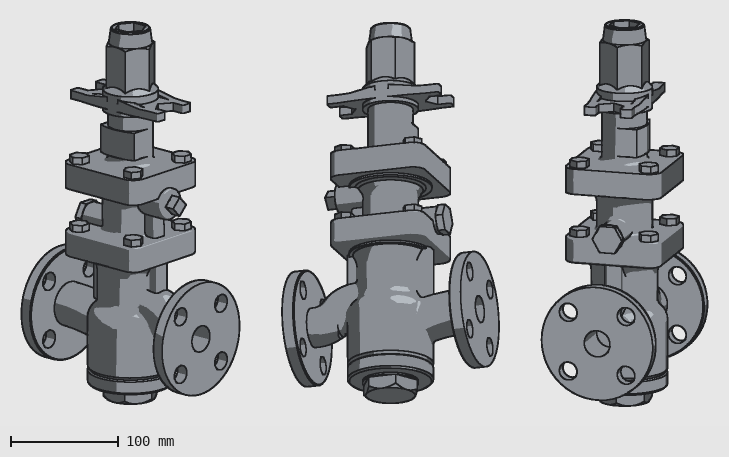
import cadquery as cq
import math


half_hex_turn = 30.0

overall_height = 360.0
top_z = 285.1
hex_top_z = 270.4
hex_base_z = 231.2
collar_top_z = 225.4
collar_bottom_z = 205.6
bolted_joint_thickness = 24.2
joint_pitch = 66.0
upper_joint_top_z = 154.8
lower_joint_top_z = upper_joint_top_z - joint_pitch
body_shoulder_top_z = 22.3
body_shoulder_bottom_z = 2.8
body_bottom_z = -44.0
cap_top_z = -48.0
cap_bottom_z = -60.8
bottom_z = top_z - overall_height

spout_top_radius = 18.5
spout_base_radius = 20.3
spout_chamfer = 1.2
housing_hex_flats = 41.0
housing_hex_chamfer_angle = 30.0
collar_radius = 26.0
socket_flats = 25.5
socket_depth = 11.0

handle_length = 110.0
handle_end_width = 46.0
handle_middle_width = 50.4
handle_bottom_z = 209.7
handle_thickness = 8.0
handle_taper_start_x = 42.5
handle_middle_half_length = 6.5
fork_half_gap = 12.0
fork_mouth_x = 42.5
fork_root_x = 34.5
fork_tip_fillet = 2.0
ramp_length = 32.3
ramp_inner_y = 16.5
ramp_height = 4.0

neck_radius = 21.0
neck_fillet = 6.0
pad_side_depth = 18.0
pad_front_depth = 22.2
pad_top_z = 190.4
pad_bottom_z = 163.6

joint_width = 92.4
joint_corner_radius = 12.0
joint_edge_fillet = 2.0
bolt_offset = 33.6
bolt_flats = 16.0
bolt_head_height = 6.5
spigot_radius = 38.6
spigot_depth = 2.0

pilot_radius = 26.0
pilot_fillet = 3.5
pilot_flare_top_radius = 33.0
pilot_flare_lip_radius = 30.3
pilot_flare_lip_z = 126.4
pilot_flare_middle_radius = 28.3
pilot_flare_middle_z = 122.4
pilot_flare_bottom_z = 115.6

inlet_boss_z = 91.8
inlet_boss_diameter = 26.0
inlet_boss_end_x = -49.0
inlet_boss_flare = 3.0
inlet_plug_flats = 25.0
inlet_plug_length = 7.2
outlet_boss_z = 123.1
outlet_boss_diameter = 30.0
outlet_boss_end_x = 50.5
outlet_boss_fillet = 2.0
plug_neck_diameter = 10.0
plug_neck_length = 1.4
outlet_plug_diagonal = 18.4
outlet_plug_length = 9.6
pilot_rib_top_x = 36.0
pilot_rib_bottom_x = 37.6
pilot_rib_width = 15.0
pilot_rib_fillet = 3.5

body_upper_radius = 31.0
body_bell_radius = 35.0
body_bell_top_z = 62.2
body_bell_bottom_z = 49.4
body_radius = 40.0
shoulder_inflection = 0.39
groove_radius = 38.2
groove_root_z = -46.7
cap_bottom_chamfer = 1.8
cap_neck_radius = 26.0
cap_neck_height = 1.8
cap_hex_flats = 46.0
body_rib_end_x = 41.0
body_rib_width = 16.0
body_rib_fillet = 4.0
body_rib_root_fillet = 4.2
left_rib_bottom_z = 0.0
right_rib_bottom_z = 20.0

face_to_face = 176.0
flange_diameter = 108.0
flange_thickness = 11.7
flange_edge_chamfer = 1.0
flange_bolt_offset = 28.1
flange_bolt_hole_diameter = 17.0
bore_diameter = 25.0
bore_depth = 40.0
inlet_pipe_diameter = 42.0
inlet_bend_radius = 170.0
inlet_bend_angle = 18.0
outlet_pipe_diameter = 37.0
outlet_bend_start_x = 73.0
outlet_first_bend_radius = 28.0
outlet_second_bend_radius = 25.0
outlet_bend_angle = 51.0
pipe_overlap = 15.0
pipe_fillet = 4.0


def cylinder_z(radius, bottom_z, height):
    return cq.Workplane("XY").workplane(offset=bottom_z).circle(radius).extrude(height)


def cylinder_x(diameter, start_x, end_x, z):
    plane = cq.Workplane("YZ", origin=(start_x, 0, z))
    return plane.circle(diameter / 2).extrude(end_x - start_x)


def hexagon_corner_radius(flats):
    return flats / 2 / math.cos(math.pi / 6)


def hexagon_z(flats, bottom_z, height, turn=0.0):
    """Hexagonal prism with corners on X when turn is zero."""
    prism = cq.Workplane("XY").polygon(6, 2 * hexagon_corner_radius(flats)).extrude(height)
    return prism.rotate((0, 0, 0), (0, 0, 1), turn).translate((0, 0, bottom_z))


def revolve_z(outline):
    """Turn a half outline drawn on the XZ plane about the valve axis."""
    return outline.close().revolve(360, (0, 0, 0), (0, 1, 0))


def blended_union(base, additions, radius):
    """Join round branches to a round base and fillet the curved seams between them."""
    for addition in additions:
        base = base.union(addition)
    return base.edges("%BSPLINE").fillet(radius)


def screw_housing():
    """Hexagonal housing under a round spout, with a hexagonal socket in the top."""
    flat_radius = housing_hex_flats / 2
    corner_radius = hexagon_corner_radius(housing_hex_flats)
    corner_drop = (corner_radius - flat_radius) * math.tan(math.radians(housing_hex_chamfer_angle))
    prism = hexagon_z(housing_hex_flats, collar_top_z, hex_top_z - collar_top_z)
    turned = revolve_z(
        cq.Workplane("XZ")
        .moveTo(0, collar_top_z)
        .lineTo(corner_radius, collar_top_z)
        .lineTo(corner_radius, hex_top_z - corner_drop)
        .lineTo(flat_radius, hex_top_z)
        .lineTo(0, hex_top_z)
    )
    spout = revolve_z(
        cq.Workplane("XZ")
        .moveTo(0, hex_base_z)
        .lineTo(spout_base_radius, hex_base_z)
        .lineTo(spout_base_radius, hex_top_z)
        .lineTo(spout_top_radius, top_z - spout_chamfer)
        .lineTo(spout_top_radius - spout_chamfer, top_z)
        .lineTo(0, top_z)
    )
    collar = revolve_z(
        cq.Workplane("XZ")
        .moveTo(0, collar_bottom_z)
        .lineTo(collar_radius, collar_bottom_z)
        .lineTo(collar_radius, collar_top_z)
        .lineTo(flat_radius, hex_base_z)
        .lineTo(0, hex_base_z)
    )
    socket = hexagon_z(socket_flats, top_z - socket_depth, socket_depth)
    return prism.intersect(turned).union(spout).union(collar).cut(socket)


def handle():
    """Flat bar forked at both ends, with four ramps beside the collar."""
    end_x = handle_length / 2
    end_y = handle_end_width / 2
    middle_y = handle_middle_width / 2
    bow_run = handle_taper_start_x - handle_middle_half_length
    bow_rise = middle_y - end_y
    bow_radius = (bow_run ** 2 + bow_rise ** 2) / (2 * bow_rise)
    blank = (
        cq.Workplane("XY")
        .lineTo(fork_root_x, 0)
        .lineTo(fork_mouth_x, fork_half_gap)
        .lineTo(end_x, fork_half_gap)
        .lineTo(end_x, end_y)
        .lineTo(handle_taper_start_x, end_y)
        .radiusArc((handle_middle_half_length, middle_y), -bow_radius)
        .lineTo(0, middle_y)
        .close()
        .extrude(handle_thickness + ramp_height)
    )
    blank = blank.faces(">X").edges("|Z").fillet(fork_tip_fillet)
    bar_slab = cq.Workplane("XY").box(handle_length, handle_middle_width, 2 * handle_thickness)
    ramp_profile = (
        cq.Workplane("XZ", origin=(0, middle_y, 0))
        .moveTo(ramp_length, handle_thickness)
        .lineTo(handle_middle_half_length, handle_thickness + ramp_height)
        .lineTo(handle_middle_half_length, handle_thickness)
        .close()
    )
    ramp = ramp_profile.extrude(middle_y - ramp_inner_y)
    quarter = blank.intersect(bar_slab.union(ramp))
    half = quarter.union(quarter.mirror("XZ"))
    return half.union(half.mirror("YZ")).translate((0, 0, handle_bottom_z))


def spring_neck():
    """Round neck with a bowed wrench pad on its -Y side."""
    base_radius = neck_radius + neck_fillet
    fillet_top_z = upper_joint_top_z + neck_fillet
    neck = revolve_z(
        cq.Workplane("XZ")
        .moveTo(0, upper_joint_top_z)
        .lineTo(base_radius, upper_joint_top_z)
        .radiusArc((neck_radius, fillet_top_z), neck_fillet)
        .lineTo(neck_radius, collar_bottom_z)
        .lineTo(0, collar_bottom_z)
    )
    pad = (
        cq.Workplane("XY", origin=(0, 0, pad_bottom_z))
        .moveTo(neck_radius, 0)
        .lineTo(neck_radius, -pad_side_depth)
        .threePointArc((0, -pad_front_depth), (-neck_radius, -pad_side_depth))
        .lineTo(-neck_radius, 0)
        .close()
        .extrude(pad_top_z - pad_bottom_z)
    )
    return neck.union(pad)


def joint_plate(bottom_z):
    """One of the two rounded square plates that make a bolted joint."""
    plate = cq.Workplane("XY", origin=(0, 0, bottom_z)).rect(joint_width, joint_width)
    plate = plate.extrude(bolted_joint_thickness / 2)
    return plate.edges("|Z").fillet(joint_corner_radius)


def bolt_heads(joint_top_z):
    heads = cq.Workplane("XY")
    for x_side in (-1, 1):
        for y_side in (-1, 1):
            turn = half_hex_turn if x_side == y_side else 0.0
            head = hexagon_z(bolt_flats, joint_top_z, bolt_head_height, turn)
            heads = heads.add(head.translate((x_side * bolt_offset, y_side * bolt_offset, 0)))
    return heads.combine()


def bolted_joint(top_z, rounded):
    """Two stacked plates, their spigot and bolts; the outer edges may be rounded."""
    upper = joint_plate(top_z - bolted_joint_thickness / 2)
    lower = joint_plate(top_z - bolted_joint_thickness)
    if rounded:
        upper = upper.faces(">Z").edges().fillet(joint_edge_fillet)
        lower = lower.faces("<Z").edges().fillet(joint_edge_fillet)
    spigot = cylinder_z(spigot_radius, top_z - bolted_joint_thickness - spigot_depth, spigot_depth)
    return upper.union(lower, clean=False).union(spigot, clean=False).union(bolt_heads(top_z), clean=False)


def pilot_housing():
    """Flared round housing between the two joints."""
    flare_top_z = upper_joint_top_z - bolted_joint_thickness - spigot_depth
    return revolve_z(
        cq.Workplane("XZ")
        .moveTo(0, lower_joint_top_z)
        .lineTo(pilot_radius + pilot_fillet, lower_joint_top_z)
        .radiusArc((pilot_radius, lower_joint_top_z + pilot_fillet), pilot_fillet)
        .lineTo(pilot_radius, pilot_flare_bottom_z)
        .tangentArcPoint((pilot_flare_middle_radius, pilot_flare_middle_z), relative=False)
        .lineTo(pilot_flare_lip_radius, pilot_flare_lip_z)
        .lineTo(pilot_flare_top_radius, flare_top_z)
        .lineTo(0, flare_top_z)
    )


def inlet_boss():
    """Round boss on the -X side, filleted into the housing and closed by a hexagonal plug."""
    root_bottom_z = lower_joint_top_z - bolted_joint_thickness
    root = cylinder_z(pilot_radius, root_bottom_z, pilot_flare_bottom_z - root_bottom_z)
    barrel = cylinder_x(inlet_boss_diameter, inlet_boss_end_x, 0, inlet_boss_z)
    boss = blended_union(root, [barrel], inlet_boss_flare)
    plug = hexagon_z(inlet_plug_flats, 0, inlet_plug_length, half_hex_turn)
    plug = plug.rotate((0, 0, 0), (0, 1, 0), -90).translate((inlet_boss_end_x, 0, inlet_boss_z))
    return boss.union(plug)


def outlet_boss():
    """Round boss on the +X side, closed by a square-headed plug."""
    boss = cylinder_x(outlet_boss_diameter, 0, outlet_boss_end_x, outlet_boss_z)
    boss = boss.faces(">X").edges().fillet(outlet_boss_fillet)
    head_start_x = outlet_boss_end_x + plug_neck_length
    neck = cylinder_x(plug_neck_diameter, outlet_boss_end_x, head_start_x, outlet_boss_z)
    head = cq.Workplane("YZ", origin=(head_start_x, 0, outlet_boss_z))
    head = head.polygon(4, outlet_plug_diagonal).extrude(outlet_plug_length)
    return boss.union(neck).union(head)


def pilot_rib():
    """Upright rib under the outlet boss, leaning slightly outward at its foot."""
    block = (
        cq.Workplane("XZ", origin=(0, pilot_rib_width / 2, 0))
        .moveTo(0, lower_joint_top_z)
        .lineTo(pilot_rib_bottom_x, lower_joint_top_z)
        .lineTo(pilot_rib_top_x, outlet_boss_z)
        .lineTo(0, outlet_boss_z)
        .close()
        .extrude(pilot_rib_width)
    )
    return block.faces(">X").edges("not |Y").fillet(pilot_rib_fillet)


def body_rib(bottom_z):
    """Upright rib on the +X side of the body, flared into the round wall."""
    half_width = body_rib_width / 2
    top_z = lower_joint_top_z - bolted_joint_thickness
    root_y = half_width + body_rib_root_fillet
    root_x = math.sqrt((body_upper_radius + body_rib_root_fillet) ** 2 - root_y ** 2)
    wall_share = body_upper_radius / (body_upper_radius + body_rib_root_fillet)
    wall_point = (root_x * wall_share, root_y * wall_share)
    block = (
        cq.Workplane("XY", origin=(0, 0, bottom_z))
        .lineTo(*wall_point)
        .radiusArc((root_x, half_width), -body_rib_root_fillet)
        .lineTo(body_rib_end_x, half_width)
        .lineTo(body_rib_end_x, -half_width)
        .lineTo(root_x, -half_width)
        .radiusArc((wall_point[0], -wall_point[1]), -body_rib_root_fillet)
        .close()
        .extrude(top_z - bottom_z)
    )
    return block.faces(">X").edges("|Z").fillet(body_rib_fillet)


def main_body():
    """Turned body with a bell mouth on top and an S-curved shoulder."""
    spigot_z = lower_joint_top_z - bolted_joint_thickness
    shoulder_rise = body_shoulder_bottom_z - body_shoulder_top_z
    inflection = (
        body_upper_radius + shoulder_inflection * (body_radius - body_upper_radius),
        body_shoulder_top_z + shoulder_inflection * shoulder_rise,
    )
    return revolve_z(
        cq.Workplane("XZ")
        .moveTo(0, body_bottom_z)
        .lineTo(body_radius, body_bottom_z)
        .lineTo(body_radius, body_shoulder_bottom_z)
        .tangentArcPoint(inflection, relative=False)
        .tangentArcPoint((body_upper_radius, body_shoulder_top_z), relative=False)
        .lineTo(body_upper_radius, body_bell_bottom_z)
        .tangentArcPoint((body_bell_radius, body_bell_top_z), relative=False)
        .lineTo(body_bell_radius, spigot_z)
        .lineTo(0, spigot_z)
    )


def bottom_cap():
    """Round cap below a V-shaped groove, with a chamfered hexagon underneath."""
    groove = revolve_z(
        cq.Workplane("XZ")
        .moveTo(0, cap_top_z)
        .lineTo(body_radius, cap_top_z)
        .lineTo(groove_radius, groove_root_z)
        .lineTo(body_radius, body_bottom_z)
        .lineTo(0, body_bottom_z)
    )
    cap = cylinder_z(body_radius, cap_bottom_z, cap_top_z - cap_bottom_z)
    cap = cap.faces("<Z").edges().chamfer(cap_bottom_chamfer)
    flat_radius = cap_hex_flats / 2
    corner_radius = hexagon_corner_radius(cap_hex_flats)
    corner_rise = corner_radius - flat_radius
    neck = cylinder_z(cap_neck_radius, cap_bottom_z - cap_neck_height, cap_neck_height)
    head_top_z = cap_bottom_z - cap_neck_height
    head = hexagon_z(cap_hex_flats, bottom_z, head_top_z - bottom_z)
    turned = revolve_z(
        cq.Workplane("XZ")
        .moveTo(0, bottom_z)
        .lineTo(flat_radius, bottom_z)
        .lineTo(corner_radius, bottom_z + corner_rise)
        .lineTo(corner_radius, head_top_z)
        .lineTo(0, head_top_z)
    )
    return groove.union(cap).union(neck).union(head.intersect(turned))


def inlet_pipe():
    """Pipe from the -X flange that bends gently down into the body."""
    angle = math.radians(inlet_bend_angle)
    start_x = -face_to_face / 2 + flange_thickness
    bend_end = (
        start_x + inlet_bend_radius * math.sin(angle),
        -inlet_bend_radius * (1 - math.cos(angle)),
    )
    path = cq.Workplane("XZ").moveTo(start_x, 0).radiusArc(bend_end, inlet_bend_radius)
    section = cq.Workplane("YZ", origin=(start_x, 0, 0)).circle(inlet_pipe_diameter / 2)
    return section.sweep(path)


def outlet_pipe():
    """Pipe from the +X flange that rises in an S-bend into the body."""
    angle = math.radians(outlet_bend_angle)
    run = math.sin(angle)
    rise = 1 - math.cos(angle)
    bend_middle = (
        outlet_bend_start_x - outlet_first_bend_radius * run,
        outlet_first_bend_radius * rise,
    )
    bend_end = (
        bend_middle[0] - outlet_second_bend_radius * run,
        bend_middle[1] + outlet_second_bend_radius * rise,
    )
    start_x = face_to_face / 2 - flange_thickness
    path = (
        cq.Workplane("XZ")
        .moveTo(start_x, 0)
        .lineTo(outlet_bend_start_x, 0)
        .tangentArcPoint(bend_middle, relative=False)
        .tangentArcPoint(bend_end, relative=False)
        .line(-pipe_overlap, 0)
    )
    section = cq.Workplane("YZ", origin=(start_x, 0, 0)).circle(outlet_pipe_diameter / 2)
    return section.sweep(path)


def flange(side):
    """Pipe flange with four bolt holes; side is -1 for -X and 1 for +X."""
    disc = cylinder_x(flange_diameter, 0, flange_thickness, 0)
    spacing = 2 * flange_bolt_offset
    holes = (
        cq.Workplane("YZ")
        .rect(spacing, spacing, forConstruction=True)
        .vertices()
        .circle(flange_bolt_hole_diameter / 2)
        .extrude(flange_thickness)
    )
    disc = disc.faces("<X").edges().chamfer(flange_edge_chamfer).cut(holes)
    disc = disc.translate((face_to_face / 2 - flange_thickness, 0, 0))
    return disc if side > 0 else disc.mirror("YZ")


def bore(side):
    """Blind flow passage through a flange into its pipe."""
    hole = cylinder_x(bore_diameter, face_to_face / 2 - bore_depth, face_to_face / 2, 0)
    return hole if side > 0 else hole.mirror("YZ")


parts = [
    body_rib(left_rib_bottom_z).mirror("YZ"),
    body_rib(right_rib_bottom_z),
    flange(-1),
    flange(1),
    bottom_cap(),
    bolted_joint(lower_joint_top_z, True),
    pilot_housing(),
    inlet_boss(),
    pilot_rib(),
    outlet_boss(),
    bolted_joint(upper_joint_top_z, False),
    spring_neck(),
    handle(),
    screw_housing(),
]
result = blended_union(main_body(), [inlet_pipe(), outlet_pipe()], pipe_fillet)
for part in parts:
    result = result.union(part, clean=False)
for side in (-1, 1):
    result = result.cut(bore(side), clean=False)